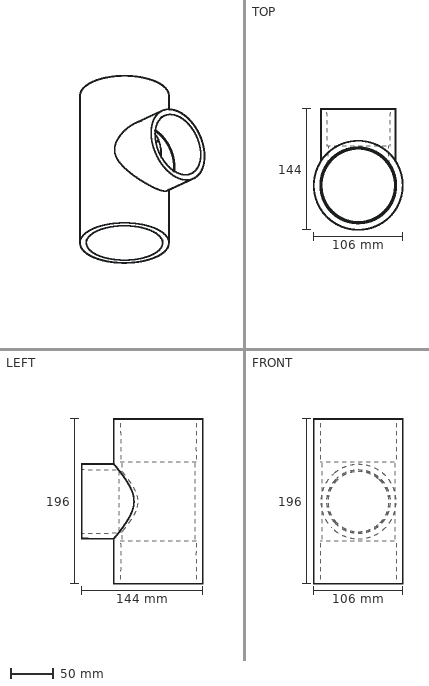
import cadquery as cq

pipe_length = 196.0
pipe_diameter = 106.0
pipe_bore = 87.0
pipe_socket_diameter = 90.0

branch_reach = 144.0 - pipe_diameter / 2
branch_diameter = 89.0
branch_bore = 72.0
branch_socket_diameter = 75.0

socket_floor = 47.0
socket_mouth_widening = 0.8

UP = cq.Vector(0, 0, 1)
DOWN = cq.Vector(0, 0, -1)
BACK = cq.Vector(0, 1, 0)


def cylinder(diameter, length, direction):
    """Cylinder starting at the centre of the tee."""
    return cq.Workplane(cq.Solid.makeCylinder(diameter / 2, length, cq.Vector(0, 0, 0), direction))


def socket(floor_diameter, mouth_distance, direction):
    """Tapered socket volume between its floor and its mouth."""
    mouth_diameter = floor_diameter + socket_mouth_widening
    depth = mouth_distance - socket_floor
    cone = cq.Solid.makeCone(
        floor_diameter / 2, mouth_diameter / 2, depth, direction * socket_floor, direction
    )
    return cq.Workplane(cone)


half_length = pipe_length / 2
body = cq.Workplane("XY").circle(pipe_diameter / 2).extrude(half_length, both=True)
body = body.union(cylinder(branch_diameter, branch_reach, BACK))

for direction in (UP, DOWN):
    body = body.cut(cylinder(pipe_bore, half_length, direction))
    body = body.cut(socket(pipe_socket_diameter, half_length, direction))

body = body.cut(cylinder(branch_bore, branch_reach, BACK))
body = body.cut(socket(branch_socket_diameter, branch_reach, BACK))

result = body